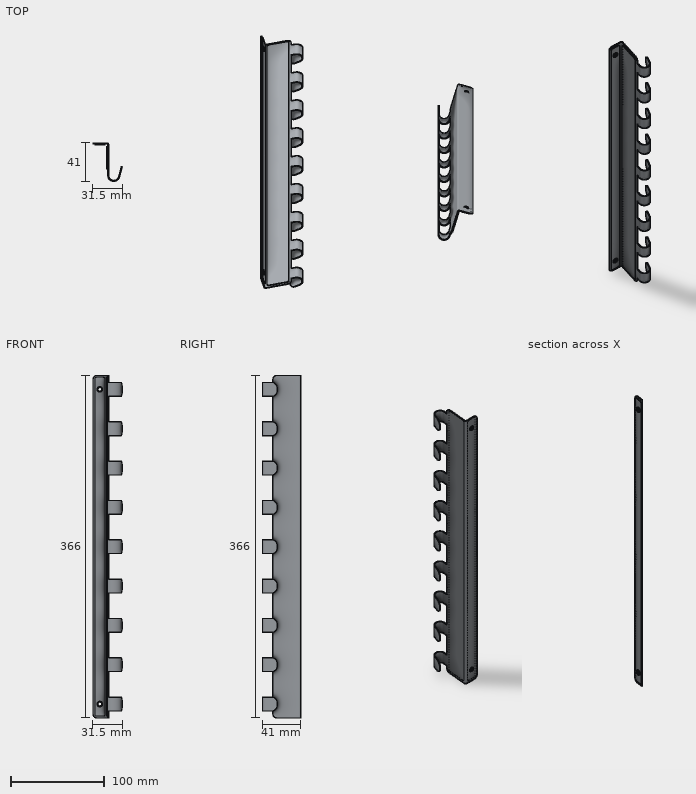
import cadquery as cq
import math

length = 366.0
flange_width = 17.0
web_depth = 30.0
sheet = 1.2
bend_outer_radius = 2.0
bend_inner_radius = bend_outer_radius - sheet
corner_radius = 4.5

hole_diameter = 4.0
pad_hole_diameter = 6.0
hole_x = 7.4
hole_end_distance = 15.0

hook_count = 9
hook_width = 15.0
hook_end_distance = hole_end_distance
hook_pitch = (length - 2 * hook_end_distance) / (hook_count - 1)
hook_outer_radius = 6.5
hook_inner_radius = hook_outer_radius - sheet
hook_lean = math.radians(15.0)
hook_depth = 41.0
hook_reach_x = 31.47
tip_corner_radius = 6.0

pad_thickness = 1.0
flange_pad_edge_gap = 2.0
pad_end_gap = 2.0
flange_pad_bend_gap = 4.0
web_pad_edge_gap = 2.5
web_pad_bend_gap = 3.5
pad_corner_radius = 2.0
pad_length = length - 2 * pad_end_gap

web_inner_x = flange_width - sheet
hook_centre_x = web_inner_x + hook_outer_radius
hook_centre_y = hook_outer_radius - hook_depth
arc_end_x = hook_centre_x + hook_outer_radius * math.cos(hook_lean)
tip_run = (hook_reach_x - arc_end_x) / math.sin(hook_lean)


def make_angle():
    """L-shaped strip with a rounded bend and rounded free corners."""
    outer = cq.Workplane("XY").box(flange_width, web_depth, length, centered=False)
    outer = outer.translate((0, -web_depth, 0)).edges("|Z and >X and >Y").fillet(bend_outer_radius)
    inside = cq.Workplane("XY").box(web_inner_x, web_depth - sheet, length, centered=False)
    inside = inside.translate((0, -web_depth, 0)).edges("|Z and >X and >Y").fillet(bend_inner_radius)
    angle = outer.cut(inside)
    angle = angle.edges("|Y and <X").fillet(corner_radius)
    return angle.edges("|X and <Y").fillet(corner_radius)


def hook_point(radius, angle, run=0.0):
    """Point on a hook arc, moved along the leaning tip by the given run."""
    x = hook_centre_x + radius * math.cos(angle) + run * math.sin(hook_lean)
    y = hook_centre_y + radius * math.sin(angle) + run * math.cos(hook_lean)
    return (x, y)


def make_hook(centre_z):
    """J-shaped strip: neck, round bottom and a leaning tip with rounded corners."""
    arc_end = -hook_lean
    arc_middle = (arc_end - math.pi) / 2
    hook = (
        cq.Workplane("XY")
        .workplane(offset=centre_z - hook_width / 2)
        .moveTo(web_inner_x, -web_depth)
        .lineTo(web_inner_x, hook_centre_y)
        .threePointArc(hook_point(hook_outer_radius, arc_middle), hook_point(hook_outer_radius, arc_end))
        .lineTo(*hook_point(hook_outer_radius, arc_end, tip_run))
        .lineTo(*hook_point(hook_inner_radius, arc_end, tip_run))
        .lineTo(*hook_point(hook_inner_radius, arc_end))
        .threePointArc(hook_point(hook_inner_radius, arc_middle), hook_point(hook_inner_radius, math.pi))
        .lineTo(flange_width, -web_depth)
        .close()
        .extrude(hook_width)
    )
    across_tip = cq.Vector(math.cos(hook_lean), -math.sin(hook_lean), 0)
    tip_corners = hook.edges(cq.selectors.ParallelDirSelector(across_tip)).edges(">X")
    return tip_corners.fillet(tip_corner_radius)


def cut_screw_holes(body, diameter):
    """Cut the two screw holes along Y, at the given diameter."""
    for z in (hole_end_distance, length - hole_end_distance):
        drill = cq.Solid.makeCylinder(
            diameter / 2, web_depth, cq.Vector(hole_x, 0, z), cq.Vector(0, -1, 0)
        )
        body = body.cut(cq.Workplane(drill))
    return body


def make_bracket():
    """Angle strip with its row of hooks and the flange screw holes."""
    bracket = make_angle()
    for index in range(hook_count):
        bracket = bracket.union(make_hook(hook_end_distance + index * hook_pitch))
    return cut_screw_holes(bracket, hole_diameter)


def make_flange_pad():
    """Thin rounded pad on the front face of the flange."""
    width = flange_width - flange_pad_edge_gap - flange_pad_bend_gap
    pad = cq.Workplane("XY").box(width, pad_thickness, pad_length, centered=False)
    pad = pad.edges("|Y").fillet(pad_corner_radius)
    pad = pad.translate((flange_pad_edge_gap, -sheet - pad_thickness, pad_end_gap))
    return cut_screw_holes(pad, pad_hole_diameter)


def make_web_pad():
    """Thin rounded pad on the -X face of the web."""
    depth = web_depth - web_pad_edge_gap - web_pad_bend_gap
    pad = cq.Workplane("XY").box(pad_thickness, depth, pad_length, centered=False)
    pad = pad.edges("|X").fillet(pad_corner_radius)
    return pad.translate((web_inner_x - pad_thickness, web_pad_edge_gap - web_depth, pad_end_gap))


bracket = make_bracket()
flange_pad = make_flange_pad()
web_pad = make_web_pad()

result = cq.Compound.makeCompound([bracket.val(), flange_pad.val(), web_pad.val()])